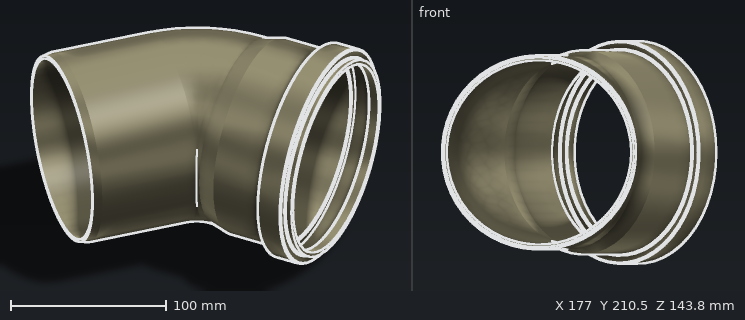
import cadquery as cq
import math

bend_angle = 45
pipe_radius = 125.2 / 2
bore_radius = 118.7 / 2
bend_radius = 58.5

spigot_length = 71.8
spigot_taper_length = 6.0
spigot_tip_radius = pipe_radius - 1.5

socket_radius = 131.8 / 2
socket_bore_radius = 126.0 / 2
bead_radius = 143.8 / 2
groove_radius = 138.0 / 2
lip_radius = 131.5 / 2
lip_bore_radius = 125.7 / 2

neck_end = 3.8
cone_end = 15.5
bore_cone_end = 16.8
bead_start = 49.5
bead_end = 66.5
socket_end = 71.1
bead_edge = 0.8
groove_start = 51.5
groove_end = 63.8
groove_edge = 0.8


def revolve_about_y(points):
    """Close a (radius, height) outline and turn it about the Y axis."""
    return cq.Workplane("XY").polyline(points).close().revolve(360, (0, 0, 0), (0, 1, 0))


def on_socket_axis(body):
    """Move a body built along Y from the origin to the outlet of the bend."""
    return (
        body.translate((-bend_radius, spigot_length, 0))
        .rotate((0, spigot_length, 0), (0, spigot_length, 1), -bend_angle)
        .translate((bend_radius, 0, 0))
    )


def elbow(radius):
    """Sweep a disc round the bend, leaving out the part beyond the bend axis."""
    half_chord = math.sqrt(radius**2 - bend_radius**2)
    return (
        cq.Workplane("XZ", origin=(0, spigot_length, 0))
        .moveTo(bend_radius, -half_chord)
        .threePointArc((-radius, 0), (bend_radius, half_chord))
        .close()
        .revolve(bend_angle, (bend_radius, 0, 0), (bend_radius, -1, 0))
    )


spigot = revolve_about_y([
    (0, 0),
    (spigot_tip_radius, 0),
    (pipe_radius, spigot_taper_length),
    (pipe_radius, spigot_length),
    (0, spigot_length),
])
spigot_bore = revolve_about_y([
    (0, 0),
    (bore_radius, 0),
    (bore_radius, spigot_length),
    (0, spigot_length),
])

socket = revolve_about_y([
    (0, 0),
    (pipe_radius, 0),
    (pipe_radius, neck_end),
    (socket_radius, cone_end),
    (socket_radius, bead_start - bead_edge),
    (socket_radius + bead_edge, bead_start),
    (bead_radius - bead_edge, bead_start),
    (bead_radius, bead_start + bead_edge),
    (bead_radius, bead_end - bead_edge),
    (bead_radius - bead_edge, bead_end),
    (lip_radius + bead_edge, bead_end),
    (lip_radius, bead_end + bead_edge),
    (lip_radius, socket_end),
    (0, socket_end),
])
socket_bore = revolve_about_y([
    (0, 0),
    (bore_radius, 0),
    (bore_radius, neck_end),
    (socket_bore_radius, bore_cone_end),
    (socket_bore_radius, groove_start - groove_edge),
    (socket_bore_radius + groove_edge, groove_start),
    (groove_radius, groove_start),
    (groove_radius, groove_end - groove_edge),
    (groove_radius - groove_edge, groove_end),
    (lip_bore_radius + groove_edge, groove_end),
    (lip_bore_radius, groove_end + groove_edge),
    (lip_bore_radius, socket_end),
    (0, socket_end),
])

outside = spigot.union(elbow(pipe_radius)).union(on_socket_axis(socket))
result = (
    outside.cut(spigot_bore)
    .cut(elbow(bore_radius))
    .cut(on_socket_axis(socket_bore))
)